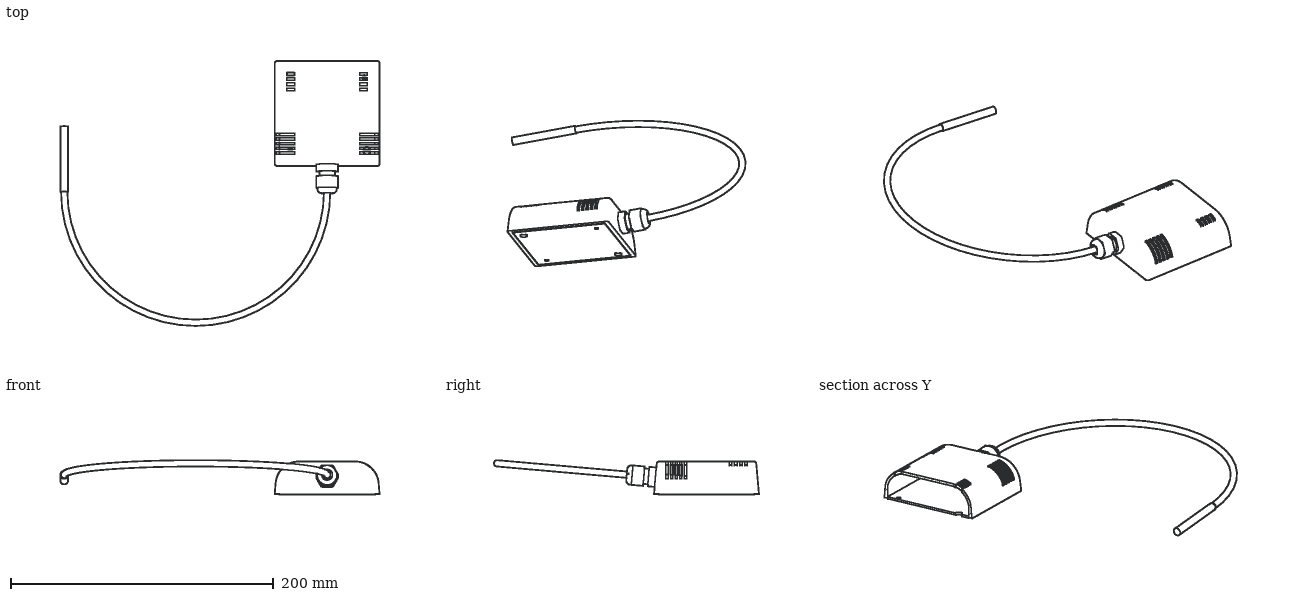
import cadquery as cq
import math

HOUSING_WIDTH = 80.0
HOUSING_HEIGHT = 25.0
DRAFT = 5.0
SHOULDER_RADIUS = 18.0
END_EDGE_FILLET = 2.0
ROOF_THICKNESS = 2.5
CAVITY_WIDTH = 73.0

SLOT_INNER_X = 24.8
LONG_SLOT_OUTER_X = 38.7
LONG_SLOT_WIDTH = 1.7
LONG_SLOT_COUNT = 5
LONG_SLOT_PITCH = 3.5
LONG_SLOT_CENTRE_Y = -23.0
SHORT_SLOT_OUTER_X = 30.6
SHORT_SLOT_WIDTH = 2.0
SHORT_SLOT_COUNT = 4
SHORT_SLOT_PITCH = 3.9
SHORT_SLOT_CENTRE_Y = 24.2

BASE_THICKNESS = 2.0
BASE_PROTRUSION = 0.5
MOUNT_HOLE_DIAMETER = 5.5
MOUNT_HOLES = [(-27.8, 30.0), (30.2, -28.3)]
SCREW_HOLE_DIAMETER = 3.0
SCREW_HOLES = [(-28.2, -27.6), (28.2, 27.6)]

GLAND_AXIS_HEIGHT = 12.96
HEX_SIDES = 6
HEX_ACROSS_FLATS = 15.0
HEX_EDGE_ROUND = 1.5
BODY_HEX_LENGTH = 5.3
WAIST_DIAMETER = 12.0
WAIST_LENGTH = 3.5
NUT_HEX_LENGTH = 9.0
DOME_DIAMETER = 15.0
DOME_LENGTH = 4.2
DOME_ROUND = 3.5
MOUTH_DEPTH = 1.5

CABLE_DIAMETER = 5.0
CABLE_STRAIGHT = 20.81
BEND_RADIUS = 100.0
SLEEVE_DIAMETER = 6.0
SLEEVE_LENGTH = 50.0

HALF_WIDTH = HOUSING_WIDTH / 2
DRAFT_TAN = math.tan(math.radians(DRAFT))
DRAFT_SIN = math.sin(math.radians(DRAFT))
DRAFT_COS = math.cos(math.radians(DRAFT))

SHOULDER_Z = HOUSING_HEIGHT - SHOULDER_RADIUS
SHOULDER_X = HALF_WIDTH - (SHOULDER_RADIUS + SHOULDER_Z * DRAFT_SIN) / DRAFT_COS

SLOT_FLOOR_Z = SHOULDER_Z + math.sqrt(SHOULDER_RADIUS**2 - (LONG_SLOT_OUTER_X - SHOULDER_X) ** 2)

GLAND_FACE = (0, -(HALF_WIDTH - GLAND_AXIS_HEIGHT * DRAFT_TAN), GLAND_AXIS_HEIGHT)
GLAND_PLANE = cq.Plane(origin=GLAND_FACE, xDir=(1, 0, 0), normal=(0, -DRAFT_COS, DRAFT_SIN))
CABLE_PLANE = cq.Plane(origin=GLAND_FACE, xDir=(1, 0, 0), normal=(0, DRAFT_SIN, DRAFT_COS))


def arch_profile(wall_x, wall_end, arc_mid, top_x, top_z):
    """Closed symmetric outline across the housing: base, side wall, shoulder arc and flat top."""
    return (
        cq.Workplane("XZ")
        .moveTo(-wall_x, 0)
        .lineTo(wall_x, 0)
        .lineTo(*wall_end)
        .threePointArc(arc_mid, (top_x, top_z))
        .lineTo(-top_x, top_z)
        .threePointArc((-arc_mid[0], arc_mid[1]), (-wall_end[0], wall_end[1]))
        .close()
    )


def shoulder_point(radius, angle):
    """Point on a circle about the shoulder centre, at an angle in degrees above horizontal."""
    turn = math.radians(angle)
    return SHOULDER_X + radius * math.cos(turn), SHOULDER_Z + radius * math.sin(turn)


def outer_form():
    """Arched block with drafted front and back walls and rounded end edges."""
    arch = arch_profile(
        HALF_WIDTH,
        shoulder_point(SHOULDER_RADIUS, DRAFT),
        shoulder_point(SHOULDER_RADIUS, (DRAFT + 90) / 2),
        SHOULDER_X,
        HOUSING_HEIGHT,
    ).extrude(HALF_WIDTH, both=True)
    top_y = HALF_WIDTH - HOUSING_HEIGHT * DRAFT_TAN
    side_outline = [
        (-HALF_WIDTH, 0),
        (HALF_WIDTH, 0),
        (top_y, HOUSING_HEIGHT),
        (-top_y, HOUSING_HEIGHT),
    ]
    wedge = cq.Workplane("YZ").polyline(side_outline).close().extrude(HALF_WIDTH, both=True)
    block = arch.intersect(wedge)
    end_edges = block.faces("<Y or >Y").edges("not(<Z)")
    return block.newObject(end_edges.vals()).fillet(END_EDGE_FILLET)


def cavity():
    """Interior space: upright walls under a roof that follows the outer arch."""
    half = CAVITY_WIDTH / 2
    radius = SHOULDER_RADIUS - ROOF_THICKNESS
    wall_angle = math.degrees(math.acos((half - SHOULDER_X) / radius))
    return arch_profile(
        half,
        shoulder_point(radius, wall_angle),
        shoulder_point(radius, (wall_angle + 90) / 2),
        SHOULDER_X,
        HOUSING_HEIGHT - ROOF_THICKNESS,
    ).extrude(half, both=True)


def slot_row(count, pitch, centre_y, outer_x, width):
    """A mirrored row of slots, cut straight down through the shoulders of the housing."""
    length = outer_x - SLOT_INNER_X
    places = [
        (side * (SLOT_INNER_X + length / 2), centre_y + (index - (count - 1) / 2) * pitch)
        for side in (-1, 1)
        for index in range(count)
    ]
    return (
        cq.Workplane("XY", origin=(0, 0, SLOT_FLOOR_Z))
        .pushPoints(places)
        .rect(length, width)
        .extrude(HOUSING_HEIGHT - SLOT_FLOOR_Z)
    )


long_slots = slot_row(
    LONG_SLOT_COUNT, LONG_SLOT_PITCH, LONG_SLOT_CENTRE_Y, LONG_SLOT_OUTER_X, LONG_SLOT_WIDTH
)
short_slots = slot_row(
    SHORT_SLOT_COUNT, SHORT_SLOT_PITCH, SHORT_SLOT_CENTRE_Y, SHORT_SLOT_OUTER_X, SHORT_SLOT_WIDTH
)
housing = (
    outer_form()
    .cut(cavity())
    .cut(long_slots)
    .cut(short_slots)
)

base_plate = (
    cq.Workplane("XY", origin=(0, 0, -BASE_PROTRUSION))
    .rect(CAVITY_WIDTH, CAVITY_WIDTH)
    .extrude(BASE_THICKNESS)
    .faces(">Z")
    .workplane(origin=(0, 0, 0))
    .pushPoints(MOUNT_HOLES)
    .hole(MOUNT_HOLE_DIAMETER)
    .pushPoints(SCREW_HOLES)
    .hole(SCREW_HOLE_DIAMETER)
)


def gland_stage(start):
    """Workplane square to the gland axis, at a distance from the housing wall."""
    return cq.Workplane(GLAND_PLANE).workplane(offset=start)


def hexagon(start, length):
    """Hexagonal grip with its flats up and down and its long edges rounded."""
    across_corners = HEX_ACROSS_FLATS / math.cos(math.pi / HEX_SIDES)
    grip = gland_stage(start).polygon(HEX_SIDES, across_corners).extrude(length)
    long_edges = cq.selectors.ParallelDirSelector(GLAND_PLANE.zDir)
    return grip.edges(long_edges).fillet(HEX_EDGE_ROUND)


def cable_gland():
    """Hex body, round waist and domed hex nut, bored for the cable."""
    nut_start = BODY_HEX_LENGTH + WAIST_LENGTH
    dome_start = nut_start + NUT_HEX_LENGTH
    gland_end = dome_start + DOME_LENGTH
    mouth_diameter = DOME_DIAMETER - 2 * DOME_ROUND

    waist = gland_stage(0).circle(WAIST_DIAMETER / 2).extrude(nut_start)
    straight = DOME_LENGTH - DOME_ROUND
    arc_mid = DOME_ROUND * math.sqrt(0.5)
    dome = (
        cq.Workplane(cq.Plane(GLAND_PLANE.origin, xDir=(1, 0, 0), normal=-CABLE_PLANE.zDir))
        .moveTo(0, dome_start)
        .lineTo(DOME_DIAMETER / 2, dome_start)
        .lineTo(DOME_DIAMETER / 2, dome_start + straight)
        .threePointArc(
            (mouth_diameter / 2 + arc_mid, dome_start + straight + arc_mid),
            (mouth_diameter / 2, gland_end),
        )
        .lineTo(0, gland_end)
        .close()
        .revolve(360, (0, 0, 0), (0, 1, 0))
    )
    mouth = gland_stage(gland_end - MOUTH_DEPTH).circle(mouth_diameter / 2).extrude(MOUTH_DEPTH)
    bore = gland_stage(0).circle(CABLE_DIAMETER / 2).extrude(gland_end)
    return (
        hexagon(0, BODY_HEX_LENGTH)
        .union(waist)
        .union(hexagon(nut_start, NUT_HEX_LENGTH))
        .union(dome)
        .cut(mouth)
        .cut(bore)
    )


gland = cable_gland()

cable_path = (
    cq.Workplane(CABLE_PLANE)
    .lineTo(0, -CABLE_STRAIGHT)
    .threePointArc(
        (-BEND_RADIUS, -CABLE_STRAIGHT - BEND_RADIUS),
        (-2 * BEND_RADIUS, -CABLE_STRAIGHT),
    )
)
cable = gland_stage(0).circle(CABLE_DIAMETER / 2).sweep(cable_path)

sleeve = (
    gland_stage(CABLE_STRAIGHT)
    .center(-2 * BEND_RADIUS, 0)
    .circle(SLEEVE_DIAMETER / 2)
    .extrude(-SLEEVE_LENGTH)
)

result = cq.Compound.makeCompound(
    [housing.val(), base_plate.val(), gland.val(), cable.val(), sleeve.val()]
)